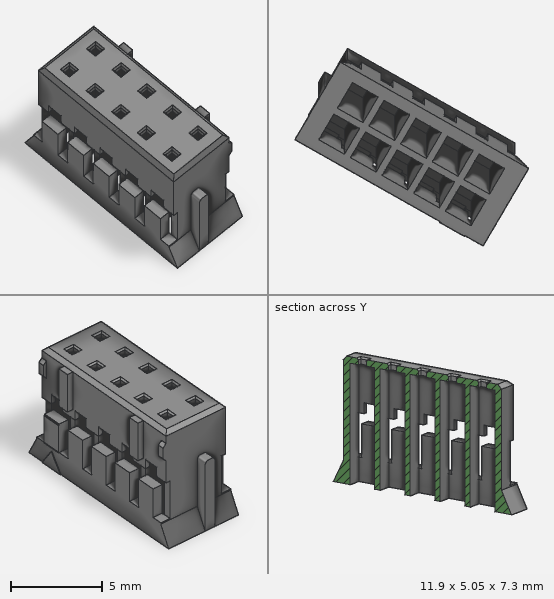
import cadquery as cq


contacts_per_row = 5
pitch = 2.0
row_y = pitch / 2
contact_xs = [(i - (contacts_per_row - 1) / 2) * pitch for i in range(contacts_per_row)]

total_length = 11.9
total_height = 7.3
body_length = 10.57
head_width = 4.26
core_width = 3.69
head_bottom = 3.9
top_chamfer = 0.25

base_width = 5.0
base_height = 1.39
slope_height = 1.31
finger_width = 1.25
finger_top = 3.31
finger_depth = (base_width - core_width) / 2

cavity_width = 1.62
cavity_wall = pitch - cavity_width
cavity_top = 6.9
notch_width = 0.95
notch_top = 4.52

pin_hole = 0.5
pin_mouth = 0.7
mouth_taper = (pin_mouth - pin_hole) / 2

post_width = 0.71
post_y = -0.46
post_top = 4.69
post_round = 0.25
post_depth = (total_length - body_length) / 2

key_width = 0.71
key_x = 1.5 * pitch
key_rear = 2.52
key_bottom = 4.52
bump_length = 0.39
bump_height = 0.21
bump_bottom = 5.39
bump_top = 6.56

mark_height = 0.05
arrow_width = 1.57
arrow_tip = 1.15
finger_mark_top = 3.22


def block(x_range, y_range, z_range):
    """Box given by its lower and upper limit along each axis."""
    lows, highs = zip(x_range, y_range, z_range)
    sizes = [high - low for low, high in zip(lows, highs)]
    return cq.Workplane("XY").box(*sizes, centered=False).translate(lows)


def span(center, size):
    """Lower and upper limit of a size about a center."""
    return center - size / 2, center + size / 2


def on_both_sides(shape, plane):
    """The shape joined with its mirror image."""
    return shape.union(shape.mirror(plane))


def make_body():
    core = block(span(0, body_length), span(0, core_width), (0, head_bottom))
    head = block(span(0, body_length), span(0, head_width), (head_bottom, total_height))
    return core.union(head.faces(">Z").chamfer(top_chamfer))


def make_base():
    half_bottom = total_length / 2
    half_top = body_length / 2
    outline = [
        (-half_bottom, 0),
        (half_bottom, 0),
        (half_top, slope_height),
        (half_top, base_height),
        (-half_top, base_height),
        (-half_top, slope_height),
    ]
    return cq.Workplane("XZ").polyline(outline).close().extrude(base_width / 2, both=True)


def make_fingers():
    front_range = (-base_width / 2, -base_width / 2 + finger_depth)
    finger = block(span(0, finger_width), front_range, (0, finger_top))
    pair = on_both_sides(finger, "XZ")
    return [pair.translate((x, 0, 0)) for x in contact_xs]


def make_posts():
    x_range = (-total_length / 2, -total_length / 2 + post_depth)
    post = block(x_range, span(post_y, post_width), (0, post_top))
    post = post.faces(">Z").edges("|X").fillet(post_round)
    return on_both_sides(post, "YZ")


def make_keys():
    key_top = total_height - top_chamfer
    key = block(span(key_x, key_width), (head_width / 2, key_rear), (key_bottom, key_top))
    return on_both_sides(key, "YZ")


def make_bumps():
    rear = head_width / 2
    profile = [
        (rear, bump_bottom),
        (rear + bump_height, bump_bottom + bump_height),
        (rear + bump_height, bump_top - bump_height),
        (rear, bump_top),
    ]
    bump = cq.Workplane("YZ").polyline(profile).close().extrude(bump_length)
    return on_both_sides(bump.translate((-body_length / 2, 0, 0)), "YZ")


def make_marks():
    """Arrow on the base and plate on the finger behind the last contact along X."""
    x = contact_xs[-1]
    rear = base_width / 2
    left, right = span(x, arrow_width)
    arrow = cq.Workplane("XZ").polyline([(left, 0), (right, 0), (x, arrow_tip)]).close()
    arrow = arrow.extrude(-mark_height).translate((0, rear, 0))
    plate = block(span(x, finger_width), (rear, rear + mark_height), (base_height, finger_mark_top))
    return arrow.union(plate)


def make_contact_cutter(x):
    """Cavity, head notch and pin hole of one contact in the front row."""
    cavity = block(span(x, cavity_width), (-core_width / 2, -cavity_wall / 2), (0, cavity_top))
    notch = block(span(x, notch_width), (-head_width / 2, -core_width / 2), (head_bottom, notch_top))
    hole = block(span(x, pin_hole), span(-row_y, pin_hole), (cavity_top, total_height))
    mouth = (
        cq.Workplane("XY", origin=(x, -row_y, total_height))
        .rect(pin_mouth, pin_mouth)
        .workplane(offset=-mouth_taper)
        .rect(pin_hole, pin_hole)
        .loft()
    )
    return cavity.union(notch).union(hole).union(mouth)


result = make_body().union(make_base())
for contact_x in contact_xs:
    result = result.cut(on_both_sides(make_contact_cutter(contact_x), "XZ"))
for addition in (*make_fingers(), make_posts(), make_keys(), make_bumps(), make_marks()):
    result = result.union(addition)